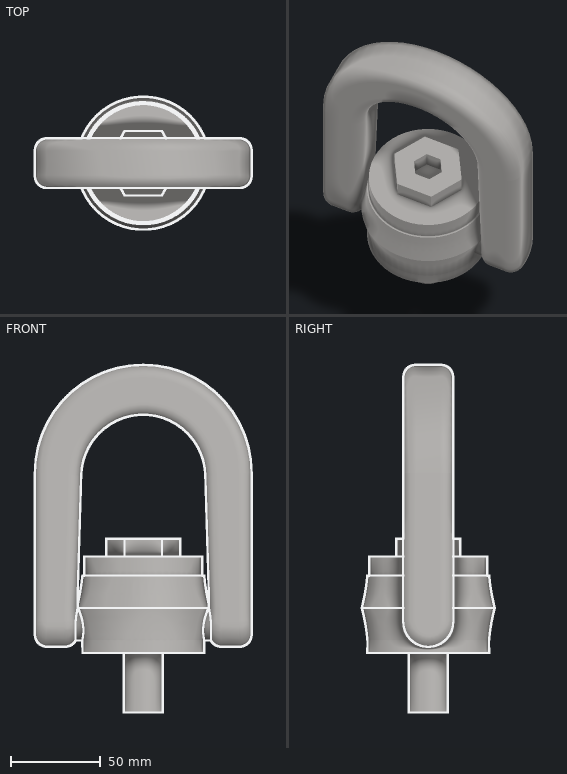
import cadquery as cq
import math

total_height = 194.0
shackle_width = 121.0
bar_thickness = 28.0
bar_fillet = 7.0
inner_arch_top = total_height - bar_thickness
inner_spring_height = 132.1
inner_spring_half = 34.5
leg_taper = 1.7
taper_end_height = 58.4

outer_radius = shackle_width / 2
outer_spring_height = total_height - outer_radius
foot_radius = bar_thickness / 2
foot_bottom = 36.7
pivot_height = foot_bottom + foot_radius
taper_height = inner_spring_height - taper_end_height
inner_foot_half = inner_spring_half + taper_height * math.tan(math.radians(leg_taper))

pin_diameter = 21.0
pin_inner_end = 23.3

stud_diameter = 22.0
housing_bottom = 33.2
housing_diameter = 68.0
lower_rim_top = 40.4
ridge_diameter = 74.3
ridge_height = 58.4
housing_top = ridge_height + (ridge_height - lower_rim_top)
flank_hollow = 0.4
disc_diameter = 66.0
disc_top = 87.1
head_height = 9.9
head_across_flats = 35.9
socket_across_flats = 15.0
socket_depth = head_height


def across_corners(across_flats):
    """Corner-to-corner size of a regular hexagon."""
    return across_flats / math.cos(math.radians(30))


def make_arch():
    """Bar outline, rounded at the feet and along every long edge."""
    outline = (
        cq.Workplane("XZ")
        .moveTo(-outer_radius, foot_bottom)
        .lineTo(-outer_radius, outer_spring_height)
        .threePointArc((0, total_height), (outer_radius, outer_spring_height))
        .lineTo(outer_radius, foot_bottom)
        .lineTo(inner_foot_half, foot_bottom)
        .lineTo(inner_foot_half, taper_end_height)
        .lineTo(inner_spring_half, inner_spring_height)
        .threePointArc((0, inner_arch_top), (-inner_spring_half, inner_spring_height))
        .lineTo(-inner_foot_half, taper_end_height)
        .lineTo(-inner_foot_half, foot_bottom)
        .close()
        .extrude(bar_thickness / 2, both=True)
    )
    side_profile = (
        cq.Workplane("YZ")
        .moveTo(-foot_radius, total_height)
        .lineTo(-foot_radius, pivot_height)
        .threePointArc((0, foot_bottom), (foot_radius, pivot_height))
        .lineTo(foot_radius, total_height)
        .close()
        .extrude(outer_radius, both=True)
    )
    arch = outline.intersect(side_profile)
    return arch.edges("not(|X or |Y)").fillet(bar_fillet)


def make_pin(side):
    """Pivot pin on one leg; side is -1 or +1 along X."""
    inside_leg = outer_radius - bar_fillet
    return (
        cq.Workplane("YZ", origin=(side * pin_inner_end, 0, pivot_height))
        .circle(pin_diameter / 2)
        .extrude(side * (inside_leg - pin_inner_end))
    )


def make_shackle():
    shackle = make_arch()
    for side in (-1, 1):
        shackle = shackle.union(make_pin(side))
    return shackle


def make_turned_swivel():
    """Stud, housing with two hollow flanks meeting at a ridge, and top disc."""
    stud = stud_diameter / 2
    rim = housing_diameter / 2
    ridge = ridge_diameter / 2
    disc = disc_diameter / 2
    flank_middle = (rim + ridge) / 2 - flank_hollow
    return (
        cq.Workplane("XZ")
        .moveTo(0, 0)
        .lineTo(stud, 0)
        .lineTo(stud, housing_bottom)
        .lineTo(rim, housing_bottom)
        .lineTo(rim, lower_rim_top)
        .threePointArc((flank_middle, (lower_rim_top + ridge_height) / 2), (ridge, ridge_height))
        .threePointArc((flank_middle, (ridge_height + housing_top) / 2), (rim, housing_top))
        .lineTo(disc, housing_top)
        .lineTo(disc, disc_top)
        .lineTo(0, disc_top)
        .close()
        .revolve(360, (0, 0, 0), (0, 1, 0))
    )


def make_swivel():
    head = (
        cq.Workplane("XY", origin=(0, 0, disc_top))
        .polygon(6, across_corners(head_across_flats))
        .extrude(head_height)
    )
    socket = (
        cq.Workplane("XY", origin=(0, 0, disc_top + head_height))
        .polygon(6, across_corners(socket_across_flats))
        .extrude(-socket_depth)
    )
    swivel = make_turned_swivel().union(head).cut(socket)
    for side in (-1, 1):
        swivel = swivel.cut(make_pin(side))
    return swivel


shackle = make_shackle()
swivel = make_swivel()

result = cq.Compound.makeCompound([shackle.val(), swivel.val()])